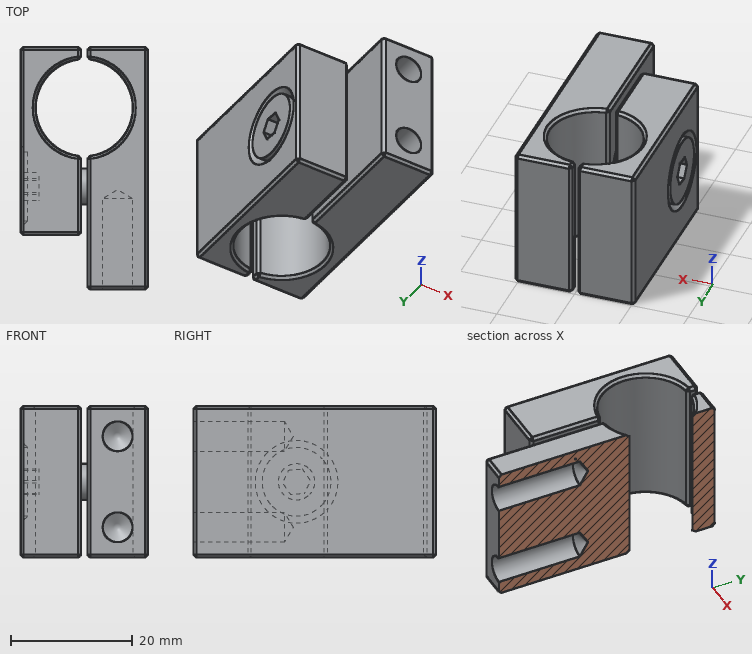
import cadquery as cq
import math

JAW_THICKNESS = 10.0
JAW_GAP = 1.0
HEIGHT = 25.0
LONG_JAW_LENGTH = 40.0
SHORT_JAW_LENGTH = 31.0
EDGE_CHAMFER = 0.5
BACK_Y = LONG_JAW_LENGTH / 2
FRONT_Y = BACK_Y - LONG_JAW_LENGTH
OUTER_X = JAW_GAP / 2 + JAW_THICKNESS
JAW_CENTER_X = (JAW_GAP + JAW_THICKNESS) / 2

BORE_DIAMETER = 16.0
BORE_FROM_BACK = 10.0
BORE_CENTER_Y = BACK_Y - BORE_FROM_BACK

SCREW_DIAMETER = 6.0
SCREW_FROM_BACK = 23.0
SCREW_Y = BACK_Y - SCREW_FROM_BACK
SCREW_ENGAGEMENT = 5.0
SHANK_LENGTH = JAW_GAP + 2 * SCREW_ENGAGEMENT
HEAD_DIAMETER = 11.34
COUNTERSINK_DIAMETER = 13.65
GROOVE_DEPTH = (COUNTERSINK_DIAMETER - HEAD_DIAMETER) / 2
SOCKET_ACROSS_FLATS = 4.0
SOCKET_DEPTH = 3.0
SOCKET_TURN = 4.5

MOUNT_HOLE_DIAMETER = 4.92
MOUNT_HOLE_SPACING = 15.0
MOUNT_HOLE_DEPTH = 15.0
DRILL_TIP_ANGLE = 118.0


def clamp_jaw(side, length):
    """Jaw on the given side of the split (-1 or +1), with every edge chamfered."""
    block = cq.Workplane("XY").box(JAW_THICKNESS, length, HEIGHT)
    block = block.translate((side * JAW_CENTER_X, BACK_Y - length / 2, 0))
    bore = cq.Workplane("XY").circle(BORE_DIAMETER / 2).extrude(HEIGHT / 2, both=True)
    bore = bore.translate((0, BORE_CENTER_Y, 0))
    return block.cut(bore).edges().chamfer(EDGE_CHAMFER)


def countersink_groove():
    """V-shaped ring left open between the countersink cone and the flush cylindrical head rim."""
    head_radius = HEAD_DIAMETER / 2
    mouth_radius = COUNTERSINK_DIAMETER / 2
    half_profile = [
        (-OUTER_X, head_radius),
        (-OUTER_X, mouth_radius),
        (-OUTER_X + GROOVE_DEPTH, head_radius),
    ]
    groove = cq.Workplane("XY").polyline(half_profile).close().revolve(360, (0, 0), (1, 0))
    return groove.translate((0, SCREW_Y, 0))


def hex_socket():
    """Hexagonal key socket sunk into the screw head."""
    across_corners = SOCKET_ACROSS_FLATS / math.cos(math.radians(30))
    return (
        cq.Workplane("YZ", origin=(-OUTER_X, SCREW_Y, 0))
        .transformed(rotate=(0, 0, SOCKET_TURN))
        .polygon(6, across_corners)
        .extrude(SOCKET_DEPTH)
    )


def screw_shank():
    """Shank that bridges the gap and ends inside both jaws."""
    return (
        cq.Workplane("YZ", origin=(-SHANK_LENGTH / 2, SCREW_Y, 0))
        .circle(SCREW_DIAMETER / 2)
        .extrude(SHANK_LENGTH)
    )


def mounting_hole(z):
    """Drilled hole along +Y with a conical bottom."""
    radius = MOUNT_HOLE_DIAMETER / 2
    tip_length = radius / math.tan(math.radians(DRILL_TIP_ANGLE / 2))
    half_profile = [
        (0, 0),
        (radius, 0),
        (radius, MOUNT_HOLE_DEPTH),
        (0, MOUNT_HOLE_DEPTH + tip_length),
    ]
    hole = cq.Workplane("XY").polyline(half_profile).close().revolve(360, (0, 0), (0, 1))
    return hole.translate((JAW_CENTER_X, FRONT_Y, z))


short_jaw = clamp_jaw(-1, SHORT_JAW_LENGTH)
long_jaw = clamp_jaw(1, LONG_JAW_LENGTH)
for z_sign in (-1, 1):
    long_jaw = long_jaw.cut(mounting_hole(z_sign * MOUNT_HOLE_SPACING / 2))

result = short_jaw.union(long_jaw).union(screw_shank())
result = result.cut(countersink_groove()).cut(hex_socket())